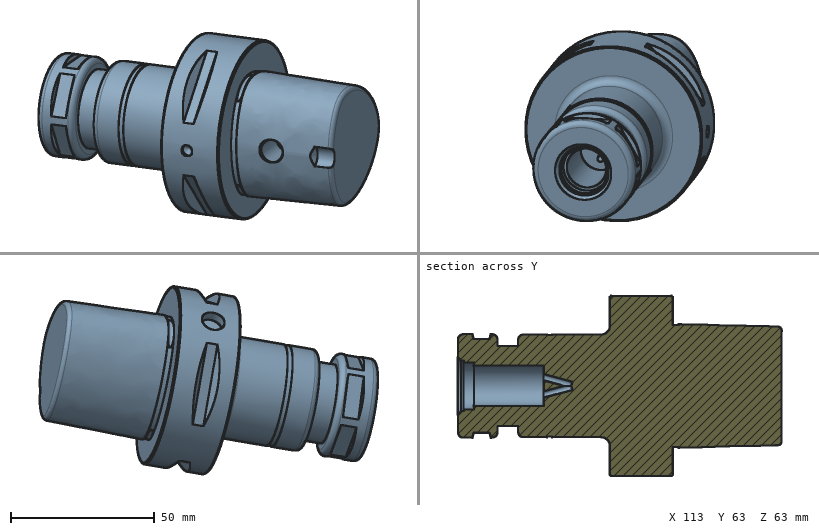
import cadquery as cq
import math


NUT_LENGTH = 14.0
NUT_DIAMETER = 36.3
NUT_ROUNDING = 2.1
NUT_FLAT_COUNT = 6
NUT_FLAT_CENTER_X = 8.35
NUT_FLAT_FLOOR_WIDTH = 5.5
NUT_FLAT_RADIUS = 16.4
NUT_FLAT_WALL_ANGLE = 15.0
NUT_FLAT_START_ANGLE = 0.0

NECK_DIAMETER = 28.0
BODY_START = 21.0
BODY_DIAMETER = 36.0
BODY_ROUNDING = 2.0
BODY_ROOT_RADIUS = 3.0
RING_GROOVE_DIAMETER = 35.6
RING_GROOVE_START = 31.1
RING_GROOVE_WIDTH = 1.8

FLANGE_START = 53.0
FLANGE_WIDTH = 22.0
FLANGE_END = FLANGE_START + FLANGE_WIDTH
FLANGE_DIAMETER = 63.0
FLANGE_CHAMFER = 0.5
GRIP_CENTER_X = 63.0
GRIP_SLOT_COUNT = 4
GRIP_SLOT_FLOOR_WIDTH = 3.8
GRIP_SLOT_RADIUS = 28.0
GRIP_SLOT_WALL_ANGLE = 30.0
GRIP_SLOT_START_ANGLE = 45.0
DIMPLE_DIAMETER = 4.0
DIMPLE_DEPTH = 1.0
POCKET_DIAMETER = 8.1
POCKET_DEPTH = 4.0

SHANK_LENGTH = 38.0
SHANK_END = FLANGE_END + SHANK_LENGTH
SHANK_ROOT_RADIUS = 22.1
SHANK_TAPER = 1 / 40
LOBE_COUNT = 3
LOBE_HEIGHT = 1.4
SHANK_ROUNDING = 1.5
RELIEF_LENGTH = 2.0
RELIEF_DEPTH = 0.3
LOBE_GROOVE_RING_RADIUS = 23.3
OUTLINE_POINTS = 36

DRILL_POINT_ANGLE = 118.0
SIDE_HOLE_X = 90.3
SIDE_HOLE_DIAMETER = 8.1
SIDE_HOLE_CHAMFER = 0.4
SIDE_HOLE_DEPTH = 14.0
SIDE_HOLE_OVERRUN = 0.5
KEY_DIAMETER = 7.6
KEY_AXIS_OFFSET = 1.1
KEY_START = 106.5

MOUTH_DIAMETER = 20.0
THROAT_DIAMETER = 16.3
MOUTH_TAPER_LENGTH = 1.2
LIP_DIAMETER = 17.5
THROAT_START = 2.1
BORE_DIAMETER = 14.0
BORE_START = 5.7
BORE_DEPTH = 30.0
COOLANT_DIAMETER = 2.0
COOLANT_OFFSET = 3.0
COOLANT_DEPTH = 10.0
COOLANT_TILT = 15.0


def cylinder(start, end, diameter):
    """Round bar along X."""
    return cq.Workplane("YZ", origin=(start, 0, 0)).circle(diameter / 2).extrude(end - start)


def drill(diameter, depth, countersink=0.0):
    """Drill shape along +X from the origin, with a conical point past the full-width depth."""
    radius = diameter / 2
    point_length = radius / math.tan(math.radians(DRILL_POINT_ANGLE / 2))
    outline = [(0, 0), (depth + point_length, 0), (depth, radius)]
    if countersink > 0:
        outline.append((countersink, radius))
    outline.append((0, radius + countersink))
    return cq.Workplane("XY").polyline(outline).close().revolve(360, (0, 0, 0), (1, 0, 0))


def ring_of_slots(center_x, floor_width, floor_radius, outer_radius, wall_angle, count, start_angle):
    """Flat-bottomed slots with sloping end walls, spread evenly around the X axis."""
    spread = (outer_radius - floor_radius) * math.tan(math.radians(wall_angle))
    half_floor = floor_width / 2
    half_top = half_floor + spread
    outline = [
        (center_x - half_floor, floor_radius),
        (center_x + half_floor, floor_radius),
        (center_x + half_top, outer_radius),
        (center_x - half_top, outer_radius),
    ]
    slot = cq.Workplane("XZ").polyline(outline).close().extrude(outer_radius, both=True)
    slots = cq.Workplane("XY")
    for index in range(count):
        angle = start_angle + index * 360 / count
        slots = slots.add(slot.rotate((0, 0, 0), (1, 0, 0), angle))
    return slots.combine()


def make_nut():
    nut = cylinder(0, NUT_LENGTH, NUT_DIAMETER).edges().fillet(NUT_ROUNDING)
    flats = ring_of_slots(
        NUT_FLAT_CENTER_X, NUT_FLAT_FLOOR_WIDTH, NUT_FLAT_RADIUS, NUT_DIAMETER / 2,
        NUT_FLAT_WALL_ANGLE, NUT_FLAT_COUNT, NUT_FLAT_START_ANGLE,
    )
    return nut.cut(flats)


def make_body():
    body = cylinder(BODY_START, FLANGE_START, BODY_DIAMETER).faces("<X").edges().fillet(BODY_ROUNDING)
    groove_end = RING_GROOVE_START + RING_GROOVE_WIDTH
    ring = cylinder(RING_GROOVE_START, groove_end, BODY_DIAMETER)
    ring = ring.cut(cylinder(RING_GROOVE_START, groove_end, RING_GROOVE_DIAMETER))
    return body.cut(ring)


def make_root_fillet():
    """Concave round between the body and the flange face."""
    radius = BODY_DIAMETER / 2
    return (
        cq.Workplane("XY")
        .moveTo(FLANGE_START, 0)
        .lineTo(FLANGE_START, radius + BODY_ROOT_RADIUS)
        .radiusArc((FLANGE_START - BODY_ROOT_RADIUS, radius), BODY_ROOT_RADIUS)
        .lineTo(FLANGE_START - BODY_ROOT_RADIUS, 0)
        .close()
        .revolve(360, (0, 0, 0), (1, 0, 0))
    )


def make_flange():
    flange = cylinder(FLANGE_START, FLANGE_END, FLANGE_DIAMETER).edges().chamfer(FLANGE_CHAMFER)
    slots = ring_of_slots(
        GRIP_CENTER_X, GRIP_SLOT_FLOOR_WIDTH, GRIP_SLOT_RADIUS, FLANGE_DIAMETER / 2,
        GRIP_SLOT_WALL_ANGLE, GRIP_SLOT_COUNT, GRIP_SLOT_START_ANGLE,
    )
    flange = flange.cut(slots)
    flange_radius = FLANGE_DIAMETER / 2
    dimple = drill(DIMPLE_DIAMETER, DIMPLE_DEPTH).rotate((0, 0, 0), (0, 0, 1), 90)
    dimple = dimple.translate((GRIP_CENTER_X, -flange_radius, 0))
    pocket = (
        cq.Workplane("XZ", origin=(GRIP_CENTER_X, flange_radius, 0))
        .circle(POCKET_DIAMETER / 2)
        .extrude(POCKET_DEPTH)
    )
    return flange.cut(dimple).cut(pocket)


def mean_radius(x):
    return SHANK_ROOT_RADIUS - SHANK_TAPER * (x - FLANGE_END)


def lobed_point(radius, turn):
    """Point on the three-lobed outline; turn 0 is the middle of the -Y flat."""
    angle = math.pi + 2 * math.pi * turn
    support = radius + LOBE_HEIGHT * math.cos(LOBE_COUNT * angle)
    slope = -LOBE_COUNT * LOBE_HEIGHT * math.sin(LOBE_COUNT * angle)
    y = support * math.cos(angle) - slope * math.sin(angle)
    z = support * math.sin(angle) + slope * math.cos(angle)
    return y, z


def lobed_wire(x, inset=0.0):
    radius = mean_radius(x) - inset
    points = [lobed_point(radius, index / OUTLINE_POINTS) for index in range(OUTLINE_POINTS)]
    return cq.Workplane("YZ", origin=(x, 0, 0)).spline(points, periodic=True).wire().val()


def lobed_taper(start, end, inset=0.0):
    """Tapered three-lobed bar between two places along X."""
    return cq.Workplane(cq.Solid.makeLoft([lobed_wire(start, inset), lobed_wire(end, inset)], True))


def make_shank():
    relief_end = FLANGE_END + RELIEF_LENGTH
    shank = lobed_taper(relief_end, SHANK_END).faces(">X").edges().fillet(SHANK_ROUNDING)
    shank = shank.union(lobed_taper(FLANGE_END, relief_end, RELIEF_DEPTH))

    groove_radius = RELIEF_LENGTH / 2
    lobe_groove = cq.Solid.makeTorus(
        LOBE_GROOVE_RING_RADIUS, groove_radius,
        cq.Vector(FLANGE_END + groove_radius, 0, 0), cq.Vector(1, 0, 0),
    )
    return shank.cut(cq.Workplane(lobe_groove)).cut(make_side_hole()).cut(make_key_slot())


def make_side_hole():
    """Countersunk blind hole; the cut starts outside the tapered flat so that no skin is left."""
    start_y = LOBE_HEIGHT - mean_radius(SIDE_HOLE_X) - SIDE_HOLE_OVERRUN
    depth = SIDE_HOLE_DEPTH + SIDE_HOLE_OVERRUN
    hole = drill(SIDE_HOLE_DIAMETER, depth, SIDE_HOLE_CHAMFER + SIDE_HOLE_OVERRUN)
    return hole.rotate((0, 0, 0), (0, 0, 1), 90).translate((SIDE_HOLE_X, start_y, 0))


def make_key_slot():
    """Round-bottomed slot along the -Y flat, open at the shank end."""
    axis_y = LOBE_HEIGHT - mean_radius(KEY_START) - KEY_AXIS_OFFSET
    key = drill(KEY_DIAMETER, SHANK_END - KEY_START).rotate((0, 0, 0), (0, 0, 1), 180)
    return key.translate((SHANK_END, axis_y, 0))


def make_bore():
    outline = [
        (0, 0),
        (0, MOUTH_DIAMETER / 2),
        (MOUTH_TAPER_LENGTH, LIP_DIAMETER / 2),
        (THROAT_START, LIP_DIAMETER / 2),
        (THROAT_START, THROAT_DIAMETER / 2),
        (BORE_START, THROAT_DIAMETER / 2),
        (BORE_START, BORE_DIAMETER / 2),
        (BORE_DEPTH, BORE_DIAMETER / 2),
        (BORE_DEPTH, 0),
    ]
    bore = cq.Workplane("XY").polyline(outline).close().revolve(360, (0, 0, 0), (1, 0, 0))
    for side in (-1, 1):
        hole = cylinder(-COOLANT_DIAMETER, COOLANT_DEPTH, COOLANT_DIAMETER)
        hole = hole.rotate((0, 0, 0), (0, 1, 0), side * COOLANT_TILT)
        bore = bore.union(hole.translate((BORE_DEPTH, 0, side * COOLANT_OFFSET)))
    return bore


neck = cylinder(0, BODY_START, NECK_DIAMETER).translate((NUT_LENGTH / 2, 0, 0))
holder = make_nut().union(neck).union(make_body()).union(make_root_fillet())
result = holder.union(make_flange()).union(make_shank()).cut(make_bore())